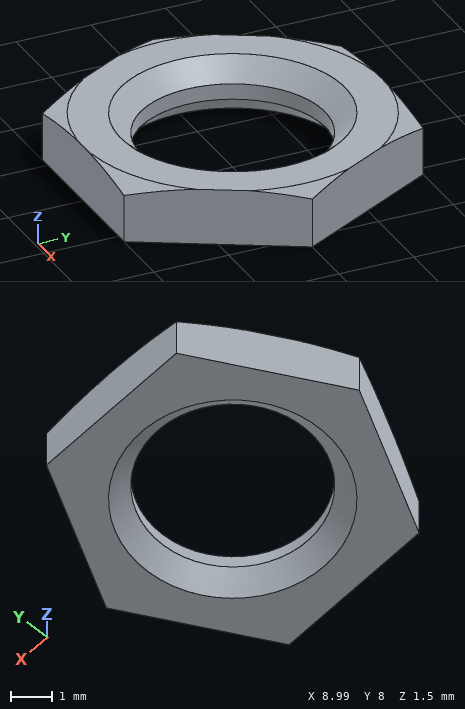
import cadquery as cq
import math

thickness = 1.5
across_flats = 8.0
across_points = 8.99
bore_diameter = 4.92
countersink_diameter = 6.0
countersink_angle = 45.0
chamfer_circle_diameter = 8.0
chamfer_angle = 20.0
envelope_margin = 0.5

half_flats = across_flats / 2
half_points = across_points / 2
half_flat_length = half_flats / math.sqrt(3)
corner_radius = math.hypot(half_flat_length, half_flats)
bore_radius = bore_diameter / 2
countersink_radius = countersink_diameter / 2
countersink_depth = (countersink_radius - bore_radius) * math.tan(math.radians(countersink_angle))


def hexagonal_blank():
    """Plate with six corners, slightly shortened along X."""
    corners = [
        (half_points, 0),
        (half_flat_length, half_flats),
        (-half_flat_length, half_flats),
        (-half_points, 0),
        (-half_flat_length, -half_flats),
        (half_flat_length, -half_flats),
    ]
    return cq.Workplane("XY").polyline(corners).close().extrude(thickness)


def chamfer_envelope():
    """Cone-topped disc that trims the upper corners of the blank."""
    top_radius = chamfer_circle_diameter / 2
    outer_radius = corner_radius + envelope_margin
    drop = (outer_radius - top_radius) * math.tan(math.radians(chamfer_angle))
    profile = [
        (0, 0),
        (outer_radius, 0),
        (outer_radius, thickness - drop),
        (top_radius, thickness),
        (0, thickness),
    ]
    return cq.Workplane("XZ").polyline(profile).close().revolve(360, (0, 0), (0, 1))


def bore_cutter():
    """Through bore with the same countersink at both ends."""
    profile = [
        (0, 0),
        (countersink_radius, 0),
        (bore_radius, countersink_depth),
        (bore_radius, thickness - countersink_depth),
        (countersink_radius, thickness),
        (0, thickness),
    ]
    return cq.Workplane("XZ").polyline(profile).close().revolve(360, (0, 0), (0, 1))


result = hexagonal_blank().intersect(chamfer_envelope()).cut(bore_cutter())